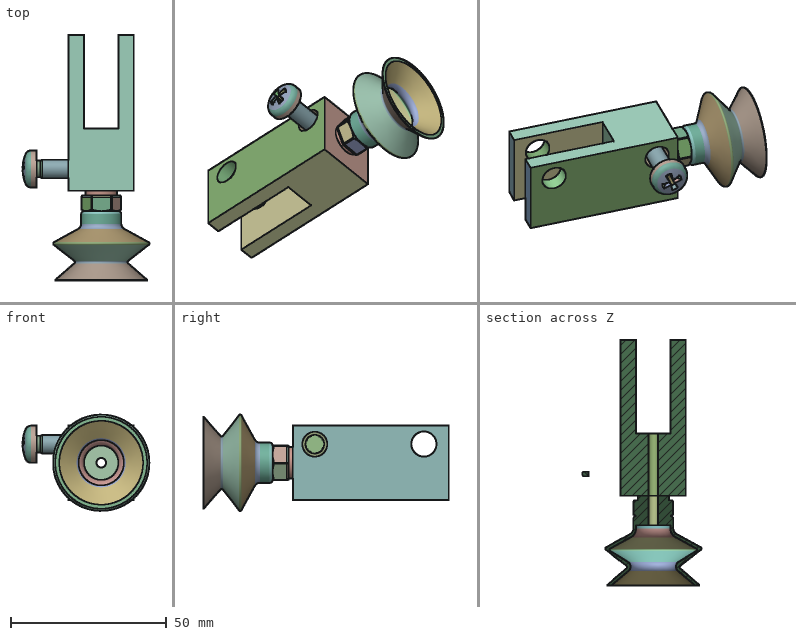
import cadquery as cq
import math


block_width = 21.0
block_length = 50.0
block_height = 24.0
slot_width = 11.0
slot_depth = 30.0
pivot_hole_diameter = 8.0
pivot_hole_from_back = 8.0
pivot_hole_z = 6.0
air_hole_diameter = 3.0

screw_y = 7.0
screw_z = 5.95
screw_hole_diameter = 8.0
shank_diameter = 6.0
relief_diameter = 5.46
relief_length = 1.2
relief_taper_length = 0.6
shank_length = 30.0
head_diameter = 12.0
head_height = 4.6
head_dome_radius = 12.2
head_edge_fillet = 2.0
head_tip_x = -25.28
recess_radius = 3.6
recess_floor_radius = 2.4
recess_wall_depth = 1.8
recess_depth = 2.8
recess_root_width = 1.0
recess_end_width = 2.1
screw_turn = 70.0

neck_diameter = 10.2
neck_length = 1.4
hex_sides = 6
hex_across_flats = 11.2
hex_corner_flats = 12.7
hex_end = 6.5
hex_back_chamfer_length = 0.6
hex_back_chamfer_width = 0.2
hex_front_chamfer_length = 0.45
hex_turn = 1.2

collar_radius = 6.5
collar_edge_fillet = 1.0
collar_flare_fillet = 1.8
collar_end = 11.7
rim_radius = 15.9
rim_depth = 16.85
rim_fillet = 0.5
waist_radius = 8.2
waist_depth = 22.85
waist_fillet = 0.5
lip_radius = 14.75
lip_land = 0.24
cup_length = 28.81

bore_radius = 5.5
bore_floor_depth = 9.5
bore_end = 12.4
bore_flare_fillet = 3.2
chamber_radius = 14.4
chamber_depth = 17.3
chamber_fillet = 0.3
throat_corner_radius = 6.0
throat_depth = 22.5
throat_fillet = 1.8
mouth_radius = 13.45


def rounded_corner(before, corner, after, radius):
    """Start, middle and end points of an arc that rounds a corner between two straight lines."""
    leg_in = (cq.Vector(*before) - cq.Vector(*corner)).normalized()
    leg_out = (cq.Vector(*after) - cq.Vector(*corner)).normalized()
    half_angle = leg_in.getAngle(leg_out) / 2
    setback = radius / math.tan(half_angle)
    bulge = radius / math.sin(half_angle) - radius
    apex = cq.Vector(*corner)
    points = (
        apex + leg_in * setback,
        apex + (leg_in + leg_out).normalized() * bulge,
        apex + leg_out * setback,
    )
    return [(point.x, point.y) for point in points]


def revolve_profile(corners):
    """Turn a profile of (radius, depth, corner rounding) entries about the Y axis."""
    points = [(radius, -depth) for radius, depth, _ in corners]
    profile = cq.Workplane("XY").moveTo(*points[0])
    for index in range(1, len(points)):
        rounding = corners[index][2]
        if rounding:
            start, middle, end = rounded_corner(*points[index - 1:index + 2], rounding)
            profile = profile.lineTo(*start).threePointArc(middle, end)
        else:
            profile = profile.lineTo(*points[index])
    return profile.close().revolve(360, (0, 0, 0), (0, 1, 0))


def along_x(diameter, start_x, length, y, z):
    """Cylinder that runs from start_x in the +X direction."""
    return cq.Workplane("YZ", origin=(start_x, y, z)).circle(diameter / 2).extrude(length)


def make_block():
    body = (
        cq.Workplane("XY")
        .box(block_width, block_length, block_height)
        .translate((0, block_length / 2, 0))
    )
    slot = (
        cq.Workplane("XY")
        .box(slot_width, slot_depth, block_height)
        .translate((0, block_length - slot_depth / 2, 0))
    )
    left = -block_width / 2
    pivot_y = block_length - pivot_hole_from_back
    pivot_hole = along_x(pivot_hole_diameter, left, block_width, pivot_y, pivot_hole_z)
    screw_hole = along_x(screw_hole_diameter, left, block_width, screw_y, screw_z)
    air_hole = cq.Workplane("XZ").circle(air_hole_diameter / 2).extrude(-block_length)
    return body.cut(slot).cut(pivot_hole).cut(screw_hole).cut(air_hole)


def make_cross_recess():
    """Four flared arms with sloping ends and a pointed floor, with the head tip at the origin."""
    root = recess_root_width / 2
    end = recess_end_width / 2
    blade = (
        cq.Workplane("YZ")
        .polyline([
            (-recess_radius, -end),
            (0, -root),
            (recess_radius, -end),
            (recess_radius, end),
            (0, root),
            (-recess_radius, end),
        ])
        .close()
        .extrude(recess_depth)
    )
    cross = blade.union(blade.rotate((0, 0, 0), (1, 0, 0), 90))
    bowl = (
        cq.Workplane("XY")
        .polyline([
            (0, 0),
            (0, recess_radius),
            (recess_wall_depth, recess_floor_radius),
            (recess_depth, 0),
        ])
        .close()
        .revolve(360, (0, 0, 0), (1, 0, 0))
    )
    return cross.intersect(bowl)


def make_screw():
    underside_x = head_tip_x + head_height
    taper_start = underside_x + relief_length
    taper_end = taper_start + relief_taper_length
    head = along_x(head_diameter, head_tip_x, head_height, 0, 0)
    dome = cq.Workplane("XY").sphere(head_dome_radius).translate((head_tip_x + head_dome_radius, 0, 0))
    head = head.intersect(dome).faces("<X").edges().fillet(head_edge_fillet)
    head = head.cut(make_cross_recess().translate((head_tip_x, 0, 0)))
    shank = (
        cq.Workplane("XY")
        .polyline([
            (underside_x, 0),
            (underside_x, relief_diameter / 2),
            (taper_start, relief_diameter / 2),
            (taper_end, shank_diameter / 2),
            (underside_x + shank_length, shank_diameter / 2),
            (underside_x + shank_length, 0),
        ])
        .close()
        .revolve(360, (0, 0, 0), (1, 0, 0))
    )
    return head.union(shank).rotate((0, 0, 0), (1, 0, 0), screw_turn).translate((0, screw_y, screw_z))


def hexagon_prism(across_flats, turn):
    """Hexagonal prism along the nut length whose faces taper inwards at the back end."""
    taper_start = cq.Workplane("XZ", origin=(0, -neck_length - hex_back_chamfer_length, 0))
    taper = math.degrees(math.atan(hex_back_chamfer_width / hex_back_chamfer_length))
    tapered_end = taper_start.polygon(hex_sides, across_flats, circumscribed=True).extrude(
        -hex_back_chamfer_length, taper=taper
    )
    straight_length = hex_end - neck_length - hex_back_chamfer_length
    straight = taper_start.polygon(hex_sides, across_flats, circumscribed=True).extrude(straight_length)
    return straight.union(tapered_end).rotate((0, 0, 0), (0, 1, 0), turn)


def make_hex():
    """Hexagon with flattened corners, flat chamfers at the back and a conical chamfer in front."""
    hexagon = hexagon_prism(hex_across_flats, hex_turn + 180 / hex_sides)
    corner_cut = hexagon_prism(hex_corner_flats, hex_turn)
    front_cone = revolve_profile([
        (0, neck_length, 0),
        (hex_corner_flats / 2, neck_length, 0),
        (hex_corner_flats / 2, hex_end - hex_front_chamfer_length, 0),
        (hex_across_flats / 2, hex_end, 0),
        (0, hex_end, 0),
    ])
    return hexagon.intersect(corner_cut).intersect(front_cone)


def make_suction_cup():
    neck = cq.Workplane("XZ").circle(neck_diameter / 2).extrude(neck_length)
    bellows = revolve_profile([
        (0, hex_end, 0),
        (collar_radius, hex_end, collar_edge_fillet),
        (collar_radius, collar_end, collar_flare_fillet),
        (rim_radius, rim_depth, rim_fillet),
        (waist_radius, waist_depth, waist_fillet),
        (lip_radius, cup_length - lip_land, 0),
        (lip_radius, cup_length, 0),
        (0, cup_length, 0),
    ])
    cavity = revolve_profile([
        (0, bore_floor_depth, 0),
        (bore_radius, bore_floor_depth, 0),
        (bore_radius, bore_end, bore_flare_fillet),
        (chamber_radius, chamber_depth, chamber_fillet),
        (throat_corner_radius, throat_depth, throat_fillet),
        (mouth_radius, cup_length, 0),
        (0, cup_length, 0),
    ])
    air_hole = cq.Workplane("XZ").circle(air_hole_diameter / 2).extrude(cup_length)
    return neck.union(make_hex()).union(bellows).cut(cavity).cut(air_hole)


block = make_block()
screw = make_screw()
suction_cup = make_suction_cup()

result = cq.Compound.makeCompound([block.val(), screw.val(), suction_cup.val()])